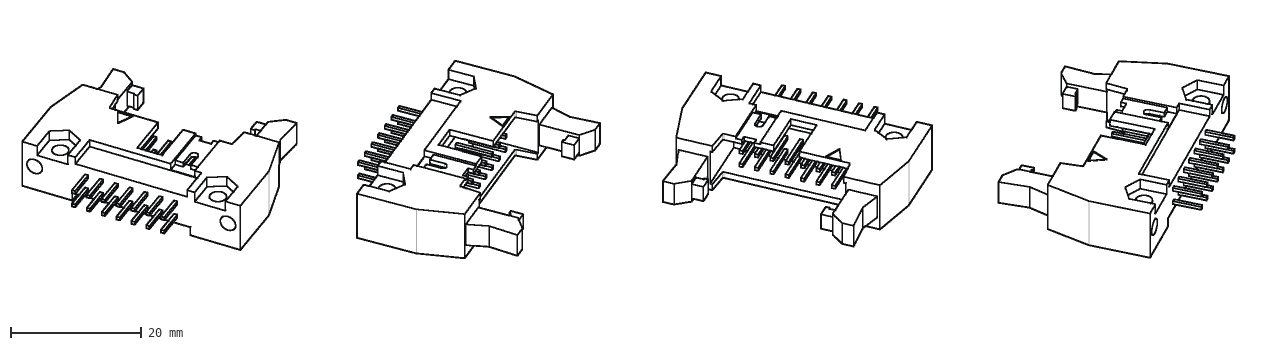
import cadquery as cq
import math

width = 37.4
height = 8.5
tail_length = 4.6
half_width = width / 2
top = height / 2

tower_y = 17.28
rim_y = 13.7
flank_y = 9.95
tower_outer_x = 16.83
tower_inner_x = 10.85
rim_corner_x = 10.5
rim_corner_radius = 0.2

wall = 1.15
cavity_half_width = 11.22
cavity_floor_y = 7.3

pin_pitch = 2.55
pin_columns = 7
pin_size = 0.55
pin_tip_y = 13.43

arm_end_y = 25.65
arm_thickness = 4.0
arm_inner_x = 11.65
arm_root_x = 16.4
arm_waist = (15.37, 20.72)
arm_tip_outer_x = 15.75
arm_tip_inner_x = 13.88
arm_embed = 1.5
hook_height = 2.75
hook_tip_x = 9.7
hook_lip_x = 10.35
hook_end_y = 23.97
hook_base_y = 22.15
hook_lip_y = 21.88

hole_diameter = 2.6
mount_x = 13.5
mount_y = 2.75
nut_flat_width = 5.27
nut_pocket_depth = 1.8
blind_x = 16.55
blind_z = 0.2
blind_depth = 4.85

edge_recess_length = 4.97
top_recess_width = 19.15
top_recess_depth = 1.27
bottom_recess_width = 20.2
bottom_recess_depth = 1.55

key_width = 4.25
key_floor_y = 6.4

tongue_x = 6.35
tongue_width = 4.1
tongue_drop = 0.37
tongue_front_y = 6.5
slit_width = 1.3
slit_end_y = 9.6
notch_width = 2.02
notch_length = 0.9

mark_width = 2.55
mark_length = 2.6
mark_depth = 0.15


def block(x0, x1, y0, y1, z0, z1):
    return cq.Workplane("XY").box(x1 - x0, y1 - y0, z1 - z0, centered=False).translate((x0, y0, z0))


def centred_block(x, block_width, y0, y1, z0, z1):
    return block(x - block_width / 2, x + block_width / 2, y0, y1, z0, z1)


def prism(points, z0, z1):
    return cq.Workplane("XY").workplane(offset=z0).polyline(points).close().extrude(z1 - z0)


def both_sides(right):
    return right.union(right.mirror("YZ"))


def make_body():
    right_outline = [
        (half_width, 0),
        (half_width, flank_y),
        (tower_outer_x, tower_y),
        (tower_inner_x, tower_y),
        (rim_corner_x, rim_y),
    ]
    left_outline = [(-x, y) for x, y in reversed(right_outline)]
    body = prism(right_outline + left_outline, -top, top)
    rim_corners = cq.selectors.BoxSelector(
        (-tower_inner_x, edge_recess_length, -top), (tower_inner_x, (rim_y + tower_y) / 2, top)
    )
    return body.edges("|Z").edges(rim_corners).fillet(rim_corner_radius)


def make_cavity():
    return centred_block(0, 2 * cavity_half_width, cavity_floor_y, tower_y, wall - top, top - wall)


def make_edge_recesses():
    upper = centred_block(0, top_recess_width, 0, edge_recess_length, top - top_recess_depth, top)
    lower = centred_block(0, bottom_recess_width, 0, edge_recess_length, -top, bottom_recess_depth - top)
    return upper.union(lower)


def make_mounting_cuts():
    through_hole = (
        cq.Workplane("XY", origin=(mount_x, mount_y, -top)).circle(hole_diameter / 2).extrude(height)
    )
    half_flat = nut_flat_width / 2
    hex_radius = nut_flat_width / math.sqrt(3)
    shoulder_y = mount_y + hex_radius / 2
    nut_pocket = prism(
        [
            (mount_x - half_flat, 0),
            (mount_x + half_flat, 0),
            (mount_x + half_flat, shoulder_y),
            (mount_x, mount_y + hex_radius),
            (mount_x - half_flat, shoulder_y),
        ],
        top - nut_pocket_depth,
        top,
    )
    blind_hole = (
        cq.Workplane("XZ", origin=(blind_x, 0, blind_z)).circle(hole_diameter / 2).extrude(-blind_depth)
    )
    return both_sides(through_hole.union(nut_pocket).union(blind_hole))


def make_key_slot():
    return centred_block(0, key_width, key_floor_y, rim_y, top - wall, top)


def make_tongue_cuts():
    wall_bottom = top - wall
    sink = centred_block(tongue_x, tongue_width, edge_recess_length, rim_y, top - tongue_drop, top)
    gap = centred_block(tongue_x, tongue_width, edge_recess_length, tongue_front_y, wall_bottom, top)
    slit_round_y = slit_end_y - slit_width / 2
    slit = centred_block(tongue_x, slit_width, tongue_front_y, slit_round_y, wall_bottom, top)
    slit_round = (
        cq.Workplane("XY", origin=(tongue_x, slit_round_y, wall_bottom)).circle(slit_width / 2).extrude(wall)
    )
    notch = centred_block(tongue_x, notch_width, rim_y - notch_length, rim_y, wall_bottom, top)
    return sink.union(gap).union(slit).union(slit_round).union(notch)


def make_pin_mark():
    mark_x = -pin_pitch * (pin_columns - 1) / 2
    corners = [
        (mark_x - mark_width / 2, pin_tip_y),
        (mark_x + mark_width / 2, pin_tip_y),
        (mark_x, pin_tip_y - mark_length),
    ]
    return prism(corners, top - mark_depth, top)


def make_arms():
    half_arm = arm_thickness / 2
    root_y = tower_y - arm_embed
    arm = prism(
        [
            (arm_inner_x, root_y),
            (arm_root_x, root_y),
            (arm_root_x, tower_y),
            arm_waist,
            (arm_tip_outer_x, arm_end_y),
            (arm_tip_inner_x, arm_end_y),
            (arm_inner_x, hook_end_y),
        ],
        -half_arm,
        half_arm,
    )
    hook = prism(
        [
            (arm_inner_x, hook_end_y),
            (hook_tip_x, hook_end_y),
            (hook_tip_x, hook_lip_y),
            (hook_lip_x, hook_lip_y),
            (hook_lip_x, hook_base_y),
            (arm_inner_x, hook_base_y),
        ],
        -hook_height / 2,
        hook_height / 2,
    )
    return both_sides(arm.union(hook))


def make_pins():
    pin_length = tail_length + pin_tip_y
    return (
        cq.Workplane("XZ", origin=(0, pin_tip_y, 0))
        .rarray(pin_pitch, pin_pitch, pin_columns, 2)
        .rect(pin_size, pin_size)
        .extrude(pin_length)
    )


result = (
    make_body()
    .cut(make_cavity())
    .cut(make_edge_recesses())
    .cut(make_mounting_cuts())
    .cut(make_key_slot())
    .cut(make_tongue_cuts())
    .cut(make_pin_mark())
    .union(make_arms())
    .union(make_pins())
)